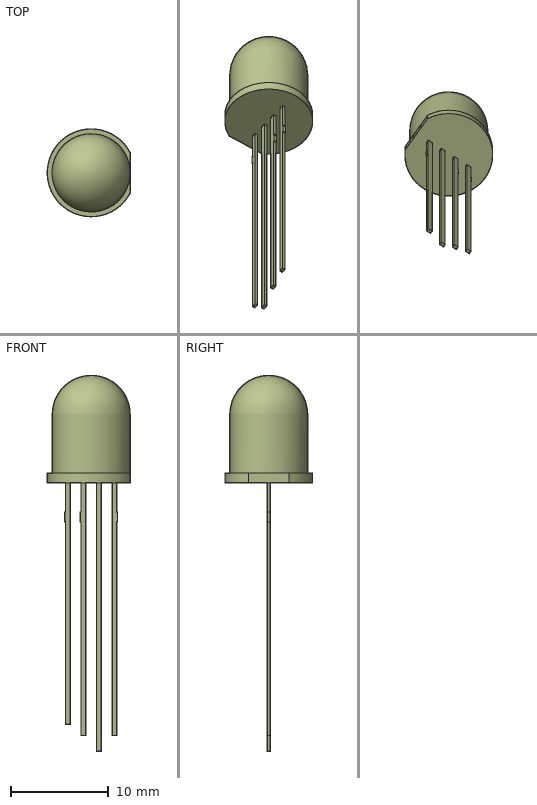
import cadquery as cq

overall_height = 38.5

lens_diameter = 8.0
lens_radius = lens_diameter / 2
flange_diameter = 9.0
flange_thickness = 1.0
dome_start_height = 7.0
flat_offset = lens_radius

lead_width = 0.5
lead_thickness = 0.3
lead_span = 4.77
longest_lead = overall_height - dome_start_height - lens_radius
middle_lead = 25.87
shortest_lead = 24.7

tab_projection = 0.08
tab_top_depth = 3.0
tab_height = 1.0

leads = [
    (shortest_lead, -1),
    (middle_lead, -1),
    (longest_lead, 0),
    (middle_lead, 1),
]


def make_lens():
    """Domed lens with its flatted flange, as one solid."""
    dome_and_barrel = (
        cq.Workplane("XZ")
        .lineTo(lens_radius, 0)
        .lineTo(lens_radius, dome_start_height)
        .radiusArc((0, dome_start_height + lens_radius), -lens_radius)
        .close()
        .revolve(360, (0, 0, 0), (0, 1, 0))
    )
    flange = cq.Workplane("XY").circle(flange_diameter / 2).extrude(flange_thickness)
    flat_side = (
        cq.Workplane("XY")
        .box(flange_diameter, flange_diameter, flange_thickness, centered=(False, True, False))
        .translate((flat_offset, 0, 0))
    )
    return dome_and_barrel.union(flange.cut(flat_side))


def make_lead(center_x, length, tab_side):
    """One lead below the flange, with a tab on its -X (-1) or +X (1) side, or none (0)."""
    lead = (
        cq.Workplane("XY")
        .center(center_x, 0)
        .rect(lead_width, lead_thickness)
        .extrude(-length)
    )
    if tab_side:
        tab_reach = lead_width / 2 + tab_projection
        tab = (
            cq.Workplane("XY", origin=(center_x + tab_side * tab_reach / 2, 0, -tab_top_depth))
            .rect(tab_reach, lead_thickness)
            .extrude(-tab_height)
        )
        lead = lead.union(tab)
    return lead


lead_pitch = lead_span / (len(leads) - 1)

lens = make_lens()

lead_solids = []
for index, (length, tab_side) in enumerate(leads):
    center_x = index * lead_pitch - lead_span / 2
    lead_solids.append(make_lead(center_x, length, tab_side).val())

result = cq.Compound.makeCompound([lens.val(), *lead_solids])